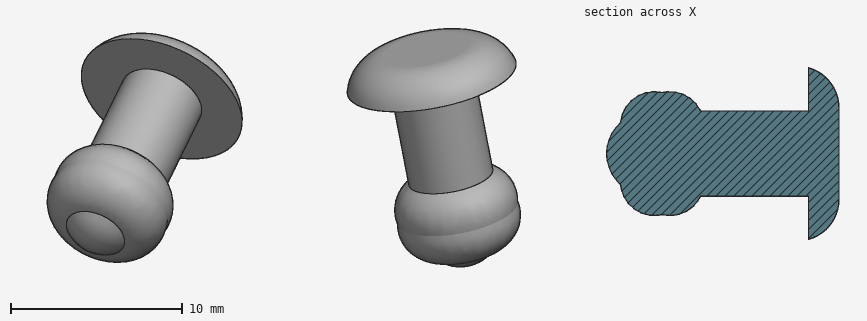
import cadquery as cq
import math

overall_length = 13.6

head_radius = 5.03
head_thickness = 1.8
head_round_radius = 2.44

shaft_radius = 2.5

bulb_radius = 3.63
bulb_round_radius = 2.0
bulb_ring_spacing = 0.9
bulb_middle_y = -8.54

tip_base_radius = 1.82

tip_end_y = head_thickness - overall_length
round_center_radius = bulb_radius - bulb_round_radius
upper_round_y = bulb_middle_y + bulb_ring_spacing / 2
lower_round_y = bulb_middle_y - bulb_ring_spacing / 2


def circle_height(radius, offset):
    """Distance from a circle's centre to its edge, at a sideways offset."""
    return math.sqrt(radius**2 - offset**2)


def point_on_circle(center, radius, angle_degrees):
    """Point on a circle, with the angle measured from the +X direction."""
    angle = math.radians(angle_degrees)
    return (center[0] + radius * math.cos(angle), center[1] + radius * math.sin(angle))


def angle_to(center, point):
    """Direction from a centre to a point, in degrees."""
    return math.degrees(math.atan2(point[1] - center[1], point[0] - center[0]))


def make_head():
    """Flat-topped head whose rim is an arc running smoothly into the flat."""
    round_center_y = head_thickness - head_round_radius
    rim_reach = circle_height(head_round_radius, round_center_y)
    flat_radius = head_radius - rim_reach
    center = (flat_radius, round_center_y)
    rim = (head_radius, 0)
    flat_edge = (flat_radius, head_thickness)
    middle_angle = (angle_to(center, flat_edge) + angle_to(center, rim)) / 2
    profile = (
        cq.Workplane("XY")
        .lineTo(*rim)
        .threePointArc(
            point_on_circle(center, head_round_radius, middle_angle),
            flat_edge,
        )
        .lineTo(0, head_thickness)
        .close()
    )
    return revolve_about_y(profile)


def make_stem():
    """Shaft, rounded bulb and domed tip in one outline."""
    upper_center = (round_center_radius, upper_round_y)
    lower_center = (round_center_radius, lower_round_y)
    shaft_end_y = upper_round_y + circle_height(bulb_round_radius, shaft_radius - round_center_radius)
    tip_base_y = lower_round_y - circle_height(bulb_round_radius, tip_base_radius - round_center_radius)
    groove_radius = round_center_radius + circle_height(bulb_round_radius, bulb_ring_spacing / 2)
    groove = (groove_radius, bulb_middle_y)
    shaft_end = (shaft_radius, shaft_end_y)
    tip_base = (tip_base_radius, tip_base_y)

    tip_height = tip_base_y - tip_end_y
    tip_sphere_radius = (tip_base_radius**2 + tip_height**2) / (2 * tip_height)
    tip_center = (0, tip_end_y + tip_sphere_radius)
    tip_apex = (0, tip_end_y)

    upper_middle_angle = (angle_to(upper_center, shaft_end) + angle_to(upper_center, groove)) / 2
    lower_middle_angle = (angle_to(lower_center, groove) + angle_to(lower_center, tip_base)) / 2
    tip_middle_angle = (angle_to(tip_center, tip_apex) + angle_to(tip_center, tip_base)) / 2

    profile = (
        cq.Workplane("XY")
        .lineTo(shaft_radius, 0)
        .lineTo(*shaft_end)
        .threePointArc(
            point_on_circle(upper_center, bulb_round_radius, upper_middle_angle),
            groove,
        )
        .threePointArc(
            point_on_circle(lower_center, bulb_round_radius, lower_middle_angle),
            tip_base,
        )
        .threePointArc(
            point_on_circle(tip_center, tip_sphere_radius, tip_middle_angle),
            tip_apex,
        )
        .close()
    )
    return revolve_about_y(profile)


def revolve_about_y(profile):
    """Full turn of a half outline about the Y axis."""
    return profile.revolve(360, (0, 0, 0), (0, 1, 0))


result = make_head().union(make_stem())